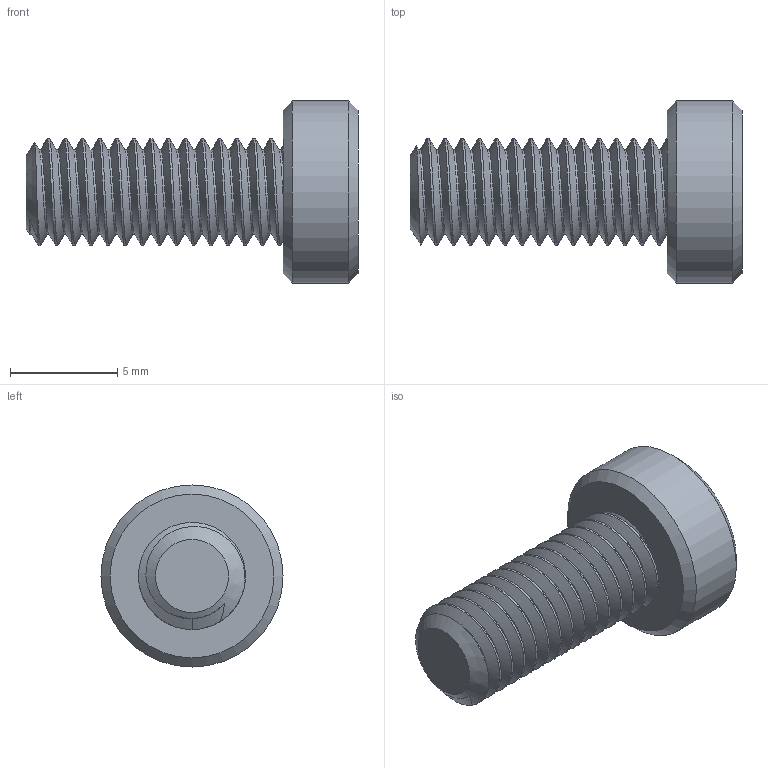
import cadquery as cq
import math


MAJOR_DIAMETER = 5.0
ROOT_DIAMETER = 3.96
PITCH = 0.8
FLAT_WIDTH = PITCH / 8
FIRST_ROOT_OFFSET = 0.24
TURNS_PAST_END = 2

SHANK_LENGTH = 12.0
TIP_FACE_DIAMETER = 3.41
TIP_CHAMFER_LENGTH = (MAJOR_DIAMETER - ROOT_DIAMETER) / 2
BLANK_DIAMETER = 6.0

HEAD_DIAMETER = 8.5
HEAD_HEIGHT = 3.5
HEAD_CHAMFER = 0.43


def make_shank_blank():
    """Oversize stock along +Z with the tip face at Z = 0 and the tip cone already on it."""
    tip_radius = TIP_FACE_DIAMETER / 2
    blank_radius = BLANK_DIAMETER / 2
    cone_run_per_radius = TIP_CHAMFER_LENGTH / (MAJOR_DIAMETER / 2 - tip_radius)
    cone_length = (blank_radius - tip_radius) * cone_run_per_radius
    return (
        cq.Workplane("XZ")
        .lineTo(tip_radius, 0)
        .lineTo(blank_radius, cone_length)
        .lineTo(blank_radius, SHANK_LENGTH)
        .lineTo(0, SHANK_LENGTH)
        .close()
        .revolve(360, (0, 0, 0), (0, 1, 0))
        .val()
    )


def thread_turn(root_centre):
    """Faces of one right-hand turn about +Z: root flat, flank, crest flat and flank."""
    half_flat = FLAT_WIDTH / 2
    half_pitch = PITCH / 2
    profile = [
        (ROOT_DIAMETER / 2, -half_flat),
        (ROOT_DIAMETER / 2, half_flat),
        (MAJOR_DIAMETER / 2, half_pitch - half_flat),
        (MAJOR_DIAMETER / 2, half_pitch + half_flat),
        (ROOT_DIAMETER / 2, PITCH - half_flat),
    ]
    helices = []
    for radius, offset in profile:
        start = cq.Vector(0, 0, root_centre + offset)
        helices.append(cq.Wire.makeHelix(PITCH, PITCH, radius, start))
    return [cq.Face.makeRuledSurface(lower, upper) for lower, upper in zip(helices, helices[1:])]


def make_thread_surface():
    """Open tube of thread faces that reaches past both ends of the shank."""
    turn_count = math.ceil(SHANK_LENGTH / PITCH) + 2 * TURNS_PAST_END
    faces = []
    for turn in range(turn_count):
        faces += thread_turn(FIRST_ROOT_OFFSET + (turn - TURNS_PAST_END) * PITCH)
    return cq.Shell.makeShell(faces)


def make_threaded_shank():
    """The part of the stock inside the thread surface, laid along X."""
    pieces = make_shank_blank().split(make_thread_surface()).Solids()
    inner_piece = min(pieces, key=lambda piece: piece.BoundingBox().xlen)
    return (
        cq.Workplane(inner_piece)
        .rotate((0, 0, 0), (0, 1, 0), 90)
        .translate((-SHANK_LENGTH, 0, 0))
    )


def make_head():
    """Cylindrical head on +X, chamfered at the underside and at the top."""
    return (
        cq.Workplane("YZ")
        .circle(HEAD_DIAMETER / 2)
        .extrude(HEAD_HEIGHT)
        .faces("<X or >X")
        .edges()
        .chamfer(HEAD_CHAMFER)
    )


result = make_head().union(make_threaded_shank())